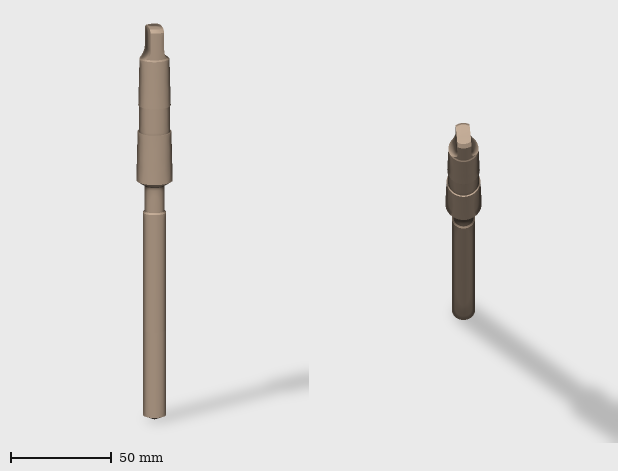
import cadquery as cq
import math

total_length = 203.2
drill_length = 46.3
body_top_z = 108.0
neck_top_z = 121.0
taper_bottom_z = 123.5
recess_bottom_z = 148.7
recess_top_z = 162.4
taper_top_z = 186.5

drill_diameter = 11.5
neck_diameter = 10.0
taper_max_diameter = 18.0
recess_diameter = 15.5
tang_diameter = 14.0

taper_ratio = 1 / 20
point_angle = 135.0
body_cone_height = 0.8
shoulder_height = 0.8
tang_chamfer = 1.6
tang_crown_height = 0.5
tang_thickness = 7.0
tang_angle = -30.0
tang_flat_bottom_z = 191.8
cutter_radius = 5.9


def taper_radius(z):
    """Radius of the self-holding taper at height z."""
    return taper_max_diameter / 2 - (z - taper_bottom_z) * taper_ratio / 2


def make_drill():
    """Plain cylindrical drill end with a conical point."""
    radius = drill_diameter / 2
    point_height = radius / math.tan(math.radians(point_angle / 2))
    return (
        cq.Workplane("XZ")
        .moveTo(0, 0)
        .lineTo(radius, point_height)
        .lineTo(radius, drill_length)
        .lineTo(0, drill_length)
        .close()
        .revolve(360, (0, 0), (0, 1))
    )


def make_turned_shank():
    """Turned blank: body, neck, recessed taper and crowned tang."""
    body_radius = drill_diameter / 2
    neck_radius = neck_diameter / 2
    recess_radius = recess_diameter / 2
    tang_radius = tang_diameter / 2
    crown_radius = tang_radius - tang_chamfer
    crown_edge_z = total_length - tang_crown_height
    crown_sphere_radius = (crown_radius**2 + tang_crown_height**2) / (2 * tang_crown_height)
    crown_mid_radius = crown_radius / 2
    crown_mid_z = (
        total_length - crown_sphere_radius + math.sqrt(crown_sphere_radius**2 - crown_mid_radius**2)
    )
    return (
        cq.Workplane("XZ")
        .moveTo(0, drill_length)
        .lineTo(body_radius, drill_length)
        .lineTo(body_radius, body_top_z - body_cone_height)
        .lineTo(neck_radius, body_top_z)
        .lineTo(neck_radius, neck_top_z)
        .lineTo(taper_max_diameter / 2, taper_bottom_z)
        .lineTo(taper_radius(recess_bottom_z), recess_bottom_z)
        .lineTo(recess_radius, recess_bottom_z)
        .lineTo(recess_radius, recess_top_z)
        .lineTo(taper_radius(recess_top_z), recess_top_z)
        .lineTo(taper_radius(taper_top_z), taper_top_z)
        .lineTo(tang_radius, taper_top_z + shoulder_height)
        .lineTo(tang_radius, crown_edge_z - tang_chamfer)
        .lineTo(crown_radius, crown_edge_z)
        .threePointArc((crown_mid_radius, crown_mid_z), (0, total_length))
        .close()
        .revolve(360, (0, 0), (0, 1))
    )


def make_flat_cutter():
    """Cutter for one tang flat, with a cylindrical run-out at its lower end."""
    half_thickness = tang_thickness / 2
    outer = half_thickness + cutter_radius
    arc_inset = cutter_radius * math.sqrt(0.5)
    return (
        cq.Workplane("YZ")
        .moveTo(half_thickness, total_length)
        .lineTo(half_thickness, tang_flat_bottom_z)
        .threePointArc(
            (outer - arc_inset, tang_flat_bottom_z - arc_inset),
            (outer, tang_flat_bottom_z - cutter_radius),
        )
        .lineTo(outer, total_length)
        .close()
        .extrude(tang_diameter, both=True)
    )


def make_shank():
    """Taper shank with two opposite flats cut on its tang."""
    shank = make_turned_shank()
    cutter = make_flat_cutter()
    for side_angle in (0, 180):
        shank = shank.cut(cutter.rotate((0, 0, 0), (0, 0, 1), tang_angle + side_angle))
    return shank


drill = make_drill()
shank = make_shank()

result = cq.Compound.makeCompound([drill.val(), shank.val()])